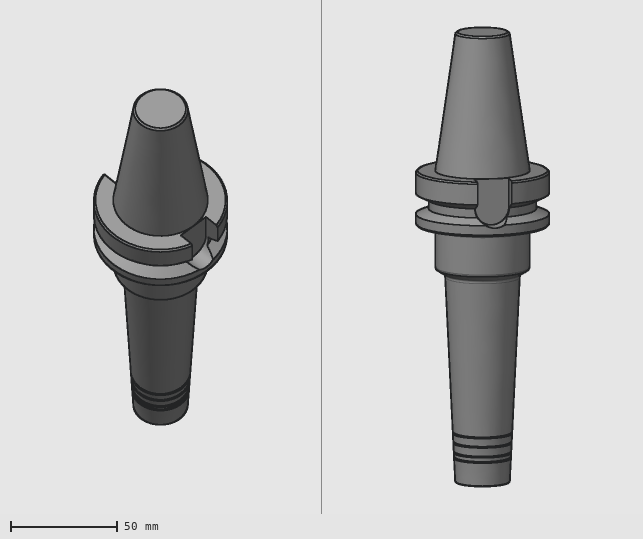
import cadquery as cq

total_length = 215.5

taper_length = 65.5
gauge_radius = 44.5 / 2
taper_ratio = 7 / 24
taper_top_radius = gauge_radius - taper_length * taper_ratio / 2
taper_chamfer = 0.9

flange_radius = 63.0 / 2
flange_top = -0.9
flange_bottom = -27.0
flange_chamfer = 0.9
groove_radius = 25.5
groove_upper_edge = -11.6
groove_lower_edge = -21.5
groove_floor_top = -14.6
groove_floor_bottom = -19.0

slot_width = 16.4
slot_floor = 22.5
slot_depth = 22.0

collar_radius = gauge_radius
collar_fillet = 2.0
collar_bottom = -46.7
collar_round = 1.0
collar_chamfer_bottom = -50.2

end_z = taper_length - total_length
shank_top_radius = 17.7
shank_bottom_radius = 13.0
shank_fillet = 1.5
shank_top = collar_chamfer_bottom - shank_fillet
nose_chamfer = 0.5

ring_tops = (-126.0, -130.5, -135.3, -137.9)
ring_width = 0.6
ring_depth = 0.5


def shank_radius(z):
    """Radius of the shank cone at height z."""
    fraction = (shank_top - z) / (shank_top - end_z)
    return shank_top_radius + fraction * (shank_bottom_radius - shank_top_radius)


def turned_body():
    """Solid of revolution, outlined from the top of the taper to the nose."""
    return (
        cq.Workplane("XZ")
        .moveTo(0, taper_length)
        .lineTo(taper_top_radius - taper_chamfer, taper_length)
        .lineTo(taper_top_radius + taper_chamfer * taper_ratio / 2, taper_length - taper_chamfer)
        .lineTo(gauge_radius, flange_top)
        .lineTo(flange_radius - flange_chamfer, flange_top)
        .lineTo(flange_radius, flange_top - flange_chamfer)
        .lineTo(flange_radius, groove_upper_edge)
        .lineTo(groove_radius, groove_floor_top)
        .lineTo(groove_radius, groove_floor_bottom)
        .lineTo(flange_radius, groove_lower_edge)
        .lineTo(flange_radius, flange_bottom + flange_chamfer)
        .lineTo(flange_radius - flange_chamfer, flange_bottom)
        .lineTo(collar_radius + collar_fillet, flange_bottom)
        .radiusArc((collar_radius, flange_bottom - collar_fillet), -collar_fillet)
        .lineTo(collar_radius, collar_bottom)
        .tangentArcPoint((collar_radius - collar_round / 3, collar_bottom - collar_round), relative=False)
        .lineTo(shank_top_radius + shank_fillet / 3, collar_chamfer_bottom)
        .radiusArc((shank_top_radius, shank_top), -shank_fillet)
        .lineTo(shank_radius(end_z + nose_chamfer), end_z + nose_chamfer)
        .lineTo(shank_bottom_radius - nose_chamfer, end_z)
        .lineTo(0, end_z)
        .close()
        .revolve(360, (0, 0, 0), (0, 1, 0))
    )


def shank_ring(top):
    """Ring-shaped cutter for one shallow groove, with its upper edge at height top."""
    floor_radius = shank_radius(top - ring_width / 2) - ring_depth
    return (
        cq.Workplane("XY", origin=(0, 0, top))
        .circle(shank_top_radius)
        .circle(floor_radius)
        .extrude(-ring_width)
    )


def drive_slot(side):
    """Round-bottomed cutter for the slot on the +X (side = 1) or -X (side = -1) face."""
    half_width = slot_width / 2
    slot_end = flange_top - slot_depth
    return (
        cq.Workplane("YZ", origin=(side * slot_floor, 0, 0))
        .moveTo(-half_width, taper_length)
        .lineTo(-half_width, slot_end + half_width)
        .threePointArc((0, slot_end), (half_width, slot_end + half_width))
        .lineTo(half_width, taper_length)
        .close()
        .extrude(side * flange_radius)
    )


result = turned_body()
for side in (-1, 1):
    result = result.cut(drive_slot(side))
for top in ring_tops:
    result = result.cut(shank_ring(top))